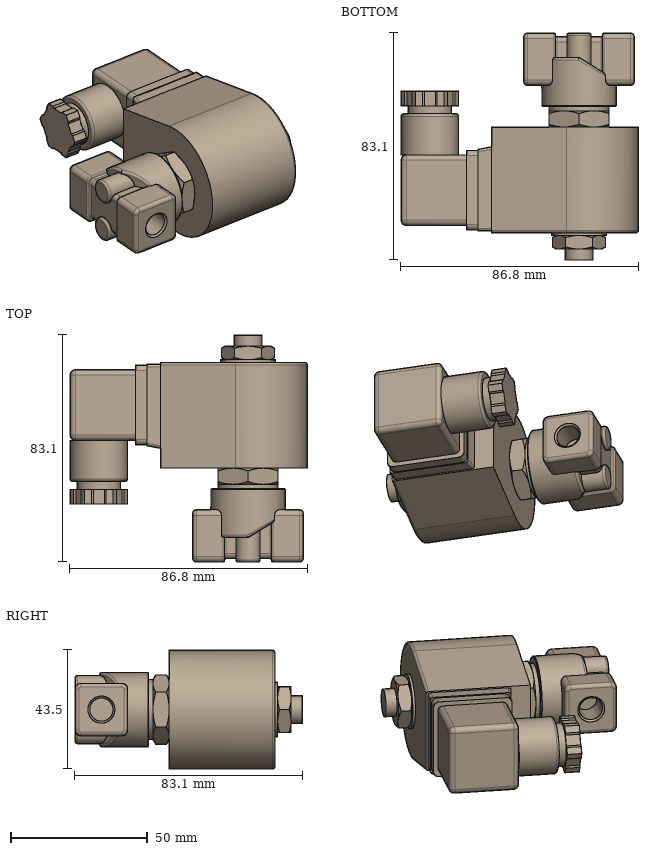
import cadquery as cq
import math


coil_diameter = 43.5
coil_radius = coil_diameter / 2
coil_length = 38.7
coil_plug_face_x = -31.9
coil_flank_angle = 12.0
coil_edge_fillet = 0.95

socket_end_x = -36.9
socket_half_height = 14.9
socket_top_y = 38.0
socket_root_bottom_y = 7.2
socket_end_bottom_y = 8.15
socket_fillet = 0.95

total_length = 86.75
plug_end_x = coil_radius - total_length
plug_center_y = 23.1
plug_width = 25.85
plug_top_y = plug_center_y + plug_width / 2
plug_bottom_y = plug_center_y - plug_width / 2
plug_fillet = 2.0
collar_end_x = -41.0
collar_width = 29.15

gland_radius = 10.5
gland_x = plug_end_x + gland_radius
gland_end_y = -4.9
gland_fillet = 0.95
gland_neck_radius = 8.0
knob_start_y = -7.7
knob_end_y = -13.1
grip_half_width_outer = 2.7
grip_half_width_inner = 2.0
grip_depth = 0.5

washer_radius = 10.1
washer_end_y = 39.65
nut_apothem = 8.4
nut_end_y = 44.6
tube_radius = 5.1
tube_end_y = 48.7

hexagon_apothem = 11.0
hexagon_end_y = -5.9
body_radius = 13.6
body_start_y = -7.5
body_start_chamfer = 0.35
body_end_y = -25.4
body_end_fillet = 0.95
body_slope_angle = 31.6

port_end_x = 20.2
port_inner_x = 8.6
port_width = 19.2
valve_end_y = -34.35
port_center_y = valve_end_y + port_width / 2
port_long_fillet = 2.1
port_end_fillet = 1.4
port_inner_fillet = 0.6
waist_inset = 1.3
waist_fillet = 1.9
port_hole_radius = 4.95
port_hole_depth = 11.3
port_hole_chamfer = 0.7
pin_diameter = 8.9
pin_spacing = 16.05
pin_end_fillet = 0.9

nut_chamfer_angle = 30.0
hexagon_side_angle = 60.0
hexagon_flat_ratio = math.cos(math.radians(hexagon_side_angle / 2))

overlap = 0.9
pick_margin = 0.1


def box(x0, x1, y0, y1, height):
    """Box between two X and two Y positions, centred on Z = 0."""
    center = ((x0 + x1) / 2, (y0 + y1) / 2, 0)
    return cq.Workplane("XY").box(abs(x1 - x0), abs(y1 - y0), height).translate(center)


def rod(radius, y_start, y_end, x=0, z=0):
    """Cylinder along Y that runs toward -Y from y_start to y_end."""
    base = cq.Workplane("XZ", origin=(x, y_start, z))
    return base.circle(radius).extrude(y_start - y_end)


def hexagon_nut(apothem, y_start, y_end, corner_angle):
    """Hexagon prism along Y with both ends chamfered by a cone."""
    corner_radius = apothem / hexagon_flat_ratio
    length = y_start - y_end
    prism = (
        cq.Workplane("XZ", origin=(0, y_start, 0))
        .transformed(rotate=(0, 0, corner_angle))
        .polygon(6, 2 * corner_radius)
        .extrude(length)
    )
    chamfer_width = corner_radius - apothem
    chamfer_height = chamfer_width * math.tan(math.radians(nut_chamfer_angle))
    envelope = rod(corner_radius, y_start, y_end).faces("<Y or >Y").edges()
    envelope = envelope.chamfer(chamfer_height, chamfer_width)
    return prism.intersect(envelope)


def make_coil():
    """Round coil housing with two flat flanks that are tangent to it."""
    flank = math.radians(coil_flank_angle)
    tangent_x = -coil_radius * math.sin(flank)
    tangent_z = coil_radius * math.cos(flank)
    face_half_height = tangent_z - (tangent_x - coil_plug_face_x) * math.tan(flank)
    coil = (
        cq.Workplane("XZ")
        .moveTo(coil_plug_face_x, -face_half_height)
        .lineTo(tangent_x, -tangent_z)
        .threePointArc((coil_radius, 0), (tangent_x, tangent_z))
        .lineTo(coil_plug_face_x, face_half_height)
        .close()
        .extrude(-coil_length)
    )
    return coil.faces(">Y").edges("not(#X)").fillet(coil_edge_fillet)


def make_socket():
    """Block on the coil whose lower side flares toward the coil."""
    socket = (
        cq.Workplane("XY", origin=(0, 0, -socket_half_height))
        .moveTo(coil_plug_face_x, socket_root_bottom_y)
        .lineTo(socket_end_x, socket_end_bottom_y)
        .lineTo(socket_end_x, socket_top_y)
        .lineTo(coil_plug_face_x, socket_top_y)
        .close()
        .extrude(2 * socket_half_height)
    )
    long_edges = socket.faces(">Z or <Z").edges("not(|Y)")
    return long_edges.fillet(socket_fillet)


def make_plug():
    """Square plug with its wider collar against the socket."""
    half_collar = collar_width / 2
    plug = box(plug_end_x, collar_end_x, plug_bottom_y, plug_top_y, plug_width)
    plug = plug.edges("|X or <X").fillet(plug_fillet)
    collar = box(
        collar_end_x, socket_end_x, plug_center_y - half_collar, plug_center_y + half_collar, collar_width
    )
    return plug.union(collar.edges("|X").fillet(plug_fillet))


def make_gland():
    """Cable gland on the plug with a neck and a hexagonal grip knob."""
    sleeve = rod(gland_radius, plug_bottom_y, gland_end_y, x=gland_x)
    sleeve = sleeve.faces("<Y").edges().fillet(gland_fillet)
    neck = rod(gland_neck_radius, gland_end_y + overlap, knob_start_y - overlap, x=gland_x)
    knob_base = cq.Workplane("XZ", origin=(gland_x, knob_start_y, 0))
    knob_length = knob_start_y - knob_end_y
    knob = knob_base.polygon(6, 2 * gland_radius).extrude(knob_length)
    side_z = gland_radius * hexagon_flat_ratio
    grip = (
        knob_base.moveTo(-grip_half_width_outer, side_z)
        .lineTo(-grip_half_width_inner, side_z - grip_depth)
        .lineTo(grip_half_width_inner, side_z - grip_depth)
        .lineTo(grip_half_width_outer, side_z)
        .close()
        .extrude(knob_length)
    )
    for side in range(6):
        knob = knob.cut(grip.rotate((gland_x, 0, 0), (gland_x, 1, 0), hexagon_side_angle * side))
    return sleeve.union(neck).union(knob)


def make_retainer():
    """Washer, nut and protruding tube behind the coil."""
    washer = rod(washer_radius, washer_end_y, coil_length)
    nut = hexagon_nut(nut_apothem, nut_end_y, washer_end_y, 0)
    tube = rod(tube_radius, tube_end_y, coil_length)
    return washer.union(nut).union(tube)


def make_body():
    """Hexagon and round valve body whose +X half ends in a slope."""
    hexagon = hexagon_nut(hexagon_apothem, 0, hexagon_end_y, hexagon_side_angle / 2)
    neck = rod(hexagon_apothem, hexagon_end_y, body_start_y)
    body = rod(body_radius, body_start_y, body_end_y)
    slope_x = body_radius + overlap
    slope_rise = slope_x * math.tan(math.radians(body_slope_angle))
    slope = (
        cq.Workplane("XY", origin=(0, 0, -body_radius - overlap))
        .moveTo(0, body_end_y)
        .lineTo(slope_x, body_end_y + slope_rise)
        .lineTo(slope_x, body_end_y)
        .close()
        .extrude(2 * (body_radius + overlap))
    )
    body = body.faces(">Y").edges().chamfer(body_start_chamfer)
    body = body.cut(slope)
    rim = cq.selectors.BoxSelector(
        (-2 * body_radius, body_end_y - overlap, -2 * body_radius),
        (2 * body_radius, body_start_y - body_start_chamfer - overlap, 2 * body_radius),
    )
    body = body.edges(rim).edges("not(|Y or |Z)").fillet(body_end_fillet)
    return hexagon.union(neck).union(body)


def make_ports():
    """Two port blocks joined by a narrower waist."""
    top_y = valve_end_y + port_width
    half_waist = port_width / 2 - waist_inset
    waist = box(
        -port_inner_x - overlap, port_inner_x + overlap,
        port_center_y - half_waist, port_center_y + half_waist, 2 * half_waist,
    )
    ports = waist.edges("|X").fillet(waist_fillet)
    block = box(port_inner_x, port_end_x, valve_end_y, top_y, port_width)
    block = block.edges("|X").fillet(port_long_fillet)
    block = block.faces(">X").edges().fillet(port_end_fillet)
    block = block.faces("<X").edges().fillet(port_inner_fillet)
    ports = ports.union(block).union(block.mirror("YZ"))
    pick_reach = half_waist + pick_margin
    for side in (-1, 1):
        wall_x = side * port_inner_x
        waist_root = cq.selectors.BoxSelector(
            (wall_x - pick_margin, port_center_y - pick_reach, -pick_reach),
            (wall_x + pick_margin, port_center_y + pick_reach, pick_reach),
        )
        ports = ports.edges(waist_root).fillet(port_inner_fillet)
    return ports


def make_pin(z):
    """Round pin that stands on the end of the valve body."""
    pin = rod(pin_diameter / 2, body_start_y - overlap, valve_end_y, z=z)
    return pin.faces("<Y").edges().fillet(pin_end_fillet)


def make_port_hole():
    """Blind hole for the +X port, chamfered at its mouth."""
    hole = (
        cq.Workplane("YZ", origin=(port_end_x - port_hole_depth, port_center_y, 0))
        .circle(port_hole_radius - port_hole_chamfer)
        .extrude(port_hole_depth)
    )
    mouth = (
        cq.Workplane("YZ", origin=(port_end_x, port_center_y, 0))
        .circle(port_hole_radius)
        .extrude(-port_hole_chamfer, taper=45)
    )
    return hole.union(mouth)


result = make_coil()
for piece in (make_socket(), make_plug(), make_gland(), make_retainer(), make_body(), make_ports()):
    result = result.union(piece)
for side in (-1, 1):
    result = result.union(make_pin(side * pin_spacing / 2))
port_hole = make_port_hole()
result = result.cut(port_hole).cut(port_hole.mirror("YZ"))